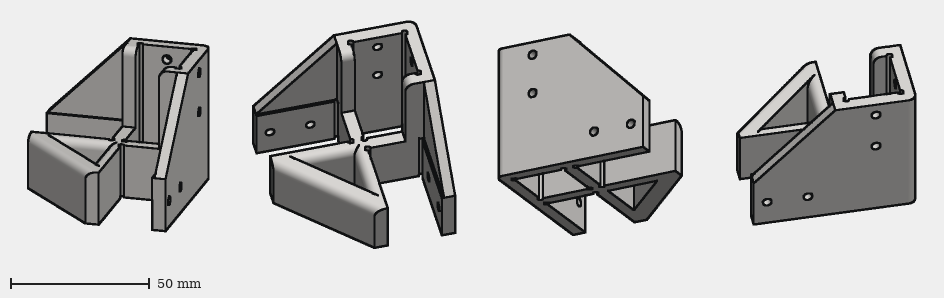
import cadquery as cq

SIZE = 60.0
HEIGHT = 50.0
BASE_HEIGHT = 20.0
WALL = 5.0
TUBE_OPENING = 20.05

outer_wall = SIZE - WALL
inner_wall = outer_wall - TUBE_OPENING
arm_length = inner_wall - WALL

ROUND_RADIUS = 3.05
RELIEF_DIAMETER = 2.05
HOLE_DIAMETER = 3.2
HOLE_END_DISTANCE = 5.0
HOLE_SPACING = 15.0
WING_THICKNESS = 4.15
POST_EDGE = 49.1
GUSSET_WIDTH = 10.0


def block(x_range, y_range, z_range):
    """Axis-aligned box between pairs of limits."""
    lows, highs = zip(x_range, y_range, z_range)
    lengths = [high - low for low, high in zip(lows, highs)]
    return cq.Workplane("XY").box(*lengths, centered=False).translate(lows)


def swap_xy(body):
    """Mirror a body across the vertical plane x = y."""
    return body.mirror("YZ").rotate((0, 0, 0), (0, 0, 1), -90)


def make_socket():
    """Square socket of full height, with its outer corner rounded."""
    span = (arm_length, SIZE)
    opening = (inner_wall, outer_wall)
    socket = block(span, span, (0, HEIGHT)).edges("|Z and >X and >Y").fillet(ROUND_RADIUS)
    return socket.cut(block(opening, opening, (0, HEIGHT)))


def make_wall_opening():
    """Space above the lowered stretch of the inner wall running along X."""
    opening = block((arm_length, POST_EDGE), (arm_length, inner_wall), (BASE_HEIGHT, HEIGHT))
    corner = block(
        (POST_EDGE, POST_EDGE + ROUND_RADIUS),
        (arm_length, inner_wall),
        (HEIGHT - ROUND_RADIUS, HEIGHT),
    )
    rounding = (
        cq.Workplane("XZ", origin=(POST_EDGE + ROUND_RADIUS, 0, HEIGHT - ROUND_RADIUS))
        .circle(ROUND_RADIUS)
        .extrude(-SIZE)
    )
    return opening.union(corner.cut(rounding))


def make_wing():
    """Wing along X: full-thickness foot below a thinner sloping web."""
    foot = block((0, arm_length), (outer_wall, SIZE), (0, BASE_HEIGHT))
    web = (
        cq.Workplane("XZ", origin=(0, SIZE, 0))
        .polyline([(0, BASE_HEIGHT), (arm_length, BASE_HEIGHT), (arm_length, HEIGHT)])
        .close()
        .extrude(WING_THICKNESS)
    )
    return foot.union(web)


def make_gusset():
    """Solid triangular gusset with a rounded diagonal edge."""
    gusset = (
        cq.Workplane("XY")
        .polyline([
            (0, inner_wall), (inner_wall, inner_wall), (inner_wall, 0),
            (arm_length, 0), (0, arm_length),
        ])
        .close()
        .extrude(BASE_HEIGHT)
    )
    diagonal_top = cq.selectors.NearestToPointSelector((arm_length / 2, arm_length / 2, BASE_HEIGHT))
    return gusset.edges(diagonal_top).fillet(ROUND_RADIUS)


def make_gusset_opening():
    """Triangular through pocket, widened by rounded rims along its two straight sides."""
    pocket = (
        cq.Workplane("XY")
        .polyline([(arm_length, arm_length), (GUSSET_WIDTH, arm_length), (arm_length, GUSSET_WIDTH)])
        .close()
        .extrude(BASE_HEIGHT)
    )
    rim = make_pocket_rim()
    return pocket.union(rim).union(swap_xy(rim))


def make_pocket_rim():
    """Material rounded off the pocket rim that runs along X."""
    reach = arm_length + ROUND_RADIUS
    corner = (
        cq.Workplane("XY", origin=(0, 0, BASE_HEIGHT - ROUND_RADIUS))
        .polyline([
            (GUSSET_WIDTH, arm_length), (arm_length, arm_length),
            (reach, reach), (GUSSET_WIDTH - ROUND_RADIUS, reach),
        ])
        .close()
        .extrude(ROUND_RADIUS)
    )
    rounding = (
        cq.Workplane("YZ", origin=(0, reach, BASE_HEIGHT - ROUND_RADIUS))
        .circle(ROUND_RADIUS)
        .extrude(SIZE)
    )
    return corner.cut(rounding)


def make_reliefs(points, height):
    """Round clearances along the internal corners."""
    return cq.Workplane("XY").pushPoints(points).circle(RELIEF_DIAMETER / 2).extrude(height)


def make_holes():
    """Screw holes through the outer wall that runs along X."""
    socket_middle = (inner_wall + outer_wall) / 2
    points = []
    for row in range(2):
        distance = HOLE_END_DISTANCE + row * HOLE_SPACING
        points.append((socket_middle, HEIGHT - distance))
        points.append((distance, BASE_HEIGHT / 2))
    return (
        cq.Workplane("XZ", origin=(0, SIZE, 0))
        .pushPoints(points)
        .circle(HOLE_DIAMETER / 2)
        .extrude(WALL)
    )


socket_corners = [(x, y) for x in (inner_wall, outer_wall) for y in (inner_wall, outer_wall)]
gusset_corners = [(arm_length, inner_wall), (inner_wall, arm_length)]
wing_corners = [(arm_length, outer_wall), (outer_wall, arm_length)]

wall_opening = make_wall_opening()
wing = make_wing()
holes = make_holes()

result = make_socket().cut(wall_opening).cut(swap_xy(wall_opening))
result = result.union(wing).union(swap_xy(wing)).union(make_gusset())
result = result.cut(make_gusset_opening())
result = result.cut(make_reliefs(socket_corners + gusset_corners, HEIGHT))
result = result.cut(make_reliefs(wing_corners, BASE_HEIGHT))
result = result.cut(holes).cut(swap_xy(holes))